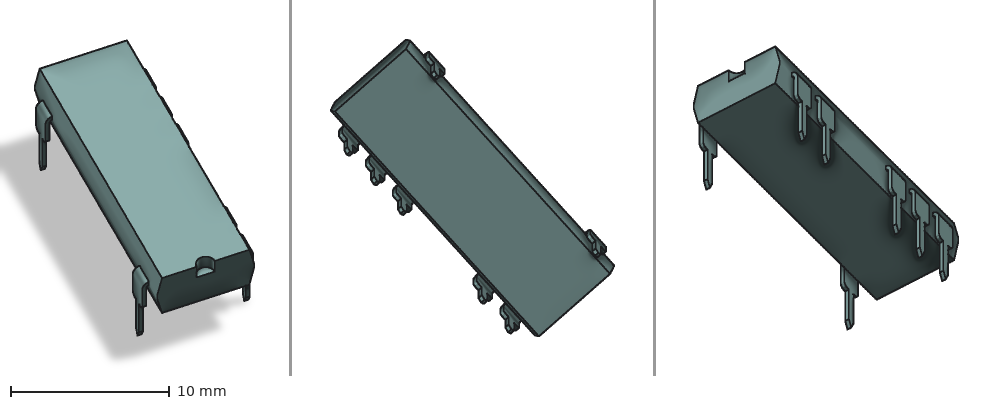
import cadquery as cq
import math

BODY_LENGTH = 19.3
BODY_WIDTH = 6.68
FACE_WIDTH = 6.0
DRAFT_HEIGHT = 1.5
LEAD_THICKNESS = 0.29
BAND_HEIGHT = LEAD_THICKNESS
BODY_HEIGHT = 2 * DRAFT_HEIGHT + BAND_HEIGHT

NOTCH_RADIUS = 0.62
NOTCH_DEPTH = 1.0

ROW_SPAN = 7.62
LEAD_PITCH = ROW_SPAN / 3
OVERALL_HEIGHT = 7.16
SHOULDER_WIDTH = 1.49
SHOULDER_DROP = 0.64
SHOULDER_RADIUS = 0.35
PIN_WIDTH = 0.5
POINT_LENGTH = 0.58
BEND_INNER_RADIUS = 0.29
FRONT_SLOTS = (-3, 3)
BACK_SLOTS = (-3, -2, -1, 2, 3)

BAND_TOP = DRAFT_HEIGHT + BAND_HEIGHT
TIP_Z = BODY_HEIGHT - OVERALL_HEIGHT

BEND_OUTER_RADIUS = BEND_INNER_RADIUS + LEAD_THICKNESS
BEND_Y = ROW_SPAN / 2 - BEND_OUTER_RADIUS
BEND_Z = BAND_TOP - BEND_OUTER_RADIUS


def make_body():
    band_y = BODY_WIDTH / 2
    face_y = FACE_WIDTH / 2
    section = [
        (-face_y, 0),
        (face_y, 0),
        (band_y, DRAFT_HEIGHT),
        (band_y, BAND_TOP),
        (face_y, BODY_HEIGHT),
        (-face_y, BODY_HEIGHT),
        (-band_y, BAND_TOP),
        (-band_y, DRAFT_HEIGHT),
    ]
    bar = cq.Workplane("YZ").polyline(section).close().extrude(BODY_LENGTH / 2, both=True)
    notch = (
        cq.Workplane("XY", origin=(BODY_LENGTH / 2, 0, BODY_HEIGHT))
        .circle(NOTCH_RADIUS)
        .extrude(-NOTCH_DEPTH)
    )
    return bar.cut(notch)


def bend_point(radius, angle):
    """Point (y, z) on a bend arc, with the angle measured up from horizontal."""
    return BEND_Y + radius * math.cos(angle), BEND_Z + radius * math.sin(angle)


def make_bent_strip():
    """Full-width lead strip on the +Y side, starting flush on the band face."""
    reach = BODY_WIDTH / 2 - BEND_Y
    outer_angle = math.acos(reach / BEND_OUTER_RADIUS)
    inner_angle = math.acos(reach / BEND_INNER_RADIUS)
    return (
        cq.Workplane("YZ")
        .moveTo(*bend_point(BEND_OUTER_RADIUS, outer_angle))
        .threePointArc(bend_point(BEND_OUTER_RADIUS, outer_angle / 2), bend_point(BEND_OUTER_RADIUS, 0))
        .lineTo(BEND_Y + BEND_OUTER_RADIUS, TIP_Z)
        .lineTo(BEND_Y + BEND_INNER_RADIUS, TIP_Z)
        .lineTo(*bend_point(BEND_INNER_RADIUS, 0))
        .threePointArc(
            bend_point(BEND_INNER_RADIUS, inner_angle / 2), bend_point(BEND_INNER_RADIUS, inner_angle)
        )
        .close()
        .extrude(SHOULDER_WIDTH / 2, both=True)
    )


def make_lead_outline():
    """Shoulder, pin and point seen along Y, as a block deep enough to trim the strip."""
    shoulder_height = BAND_TOP + SHOULDER_DROP
    shoulder = (
        cq.Workplane("XY", origin=(0, 0, -SHOULDER_DROP))
        .box(SHOULDER_WIDTH, ROW_SPAN, shoulder_height, centered=(True, True, False))
        .edges("|Y and <Z")
        .fillet(SHOULDER_RADIUS)
    )
    half_pin = PIN_WIDTH / 2
    pin_outline = [
        (-half_pin, 0),
        (-half_pin, TIP_Z + POINT_LENGTH),
        (0, TIP_Z),
        (half_pin, TIP_Z + POINT_LENGTH),
        (half_pin, 0),
    ]
    pin = cq.Workplane("XZ").polyline(pin_outline).close().extrude(ROW_SPAN / 2, both=True)
    return shoulder.union(pin)


def make_lead_row(slots, turn):
    """One lead per slot; a turn of 180 degrees moves the row to the -Y side."""
    lead = make_bent_strip().intersect(make_lead_outline()).rotate((0, 0, 0), (0, 0, 1), turn)
    return [lead.translate((slot * LEAD_PITCH, 0, 0)).val() for slot in slots]


body = make_body()
front_leads = make_lead_row(FRONT_SLOTS, 180)
back_leads = make_lead_row(BACK_SLOTS, 0)

result = cq.Compound.makeCompound([body.val(), *front_leads, *back_leads])